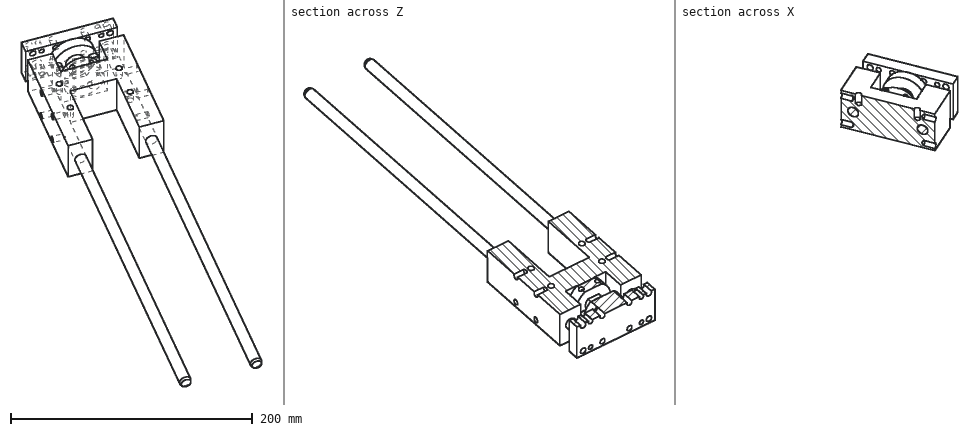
import cadquery as cq
import math


plate_thickness = 10.8
plate_width = 80.5
plate_height = 37.5
plate_hole_z = 14.0
outer_hole_diameter = 5.5
outer_hole_y = 34.0
middle_hole_diameter = 4.2
middle_hole_y = 26.0
inner_hole_diameter = 5.0
inner_hole_y = 14.0

rod_diameter = 10.0
rod_spacing = 62.0
rod_end_x = 385.0
rod_chamfer_length = 2.5
rod_chamfer_depth = 0.8

block_start_x = 21.0
block_length = 100.5
block_width = 84.0
block_height = 39.0
flange_diameter = 38.0
block_bottom_z = -flange_diameter / 2
block_end_x = block_start_x + block_length
opening_width = 41.0
web_start_x = 42.0
web_thickness = 23.0
web_end_x = web_start_x + web_thickness

mount_hole_diameter = 5.0
mount_hole_depth = 10.0
drill_point_angle = math.radians(118)
mount_hole_first_x = 54.5
mount_hole_pitch = 27.7
top_hole_y = 26.0
side_hole_z = 14.0

flange_end_x = 19.2
screw_head_diameter = 8.5
screw_head_end_x = 23.5
screw_head_y = 15.8
neck_diameter = 16.0
flats_start_x = 25.8
flats_width = 12.0
collar_diameter = 35.0
collar_start_x = 31.5
collar_hole_count = 6
collar_hole_diameter = 4.2
collar_hole_depth = 4.5


def cylinder_along_x(diameter, start_x, end_x, y=0):
    base = cq.Plane(origin=(start_x, y, 0), xDir=(0, 1, 0), normal=(1, 0, 0))
    return cq.Workplane(base).circle(diameter / 2).extrude(end_x - start_x)


def box_between(start_x, end_x, width, bottom_z, height):
    return cq.Workplane("XY").box(
        end_x - start_x, width, height, centered=(False, True, False)
    ).translate((start_x, 0, bottom_z))


def drilled_hole(diameter, depth, mouth, direction):
    return cq.Workplane(cq.Solid.makeCylinder(diameter / 2, depth, cq.Vector(*mouth), cq.Vector(*direction)))


def mount_hole(mouth, direction):
    radius = mount_hole_diameter / 2
    point_length = radius / math.tan(drill_point_angle / 2)
    point_base = cq.Vector(*mouth) + cq.Vector(*direction) * mount_hole_depth
    point = cq.Solid.makeCone(radius, 0, point_length, point_base, cq.Vector(*direction))
    return drilled_hole(mount_hole_diameter, mount_hole_depth, mouth, direction).union(cq.Workplane(point))


def make_plate():
    plate = box_between(0, plate_thickness, plate_width, -plate_height / 2, plate_height)
    hole_columns = [
        (outer_hole_diameter, outer_hole_y),
        (middle_hole_diameter, middle_hole_y),
        (inner_hole_diameter, inner_hole_y),
    ]
    for diameter, hole_y in hole_columns:
        for y in (-hole_y, hole_y):
            for z in (-plate_hole_z, plate_hole_z):
                plate = plate.cut(drilled_hole(diameter, plate_thickness, (0, y, z), (1, 0, 0)))
    return plate


def make_collar():
    collar = cylinder_along_x(collar_diameter, collar_start_x, web_start_x)
    hole_x = (collar_start_x + web_start_x) / 2
    radius = collar_diameter / 2
    for index in range(collar_hole_count):
        angle = 2 * math.pi * (index + 0.5) / collar_hole_count
        y = math.sin(angle)
        z = math.cos(angle)
        mouth = (hole_x, radius * y, radius * z)
        collar = collar.cut(drilled_hole(collar_hole_diameter, collar_hole_depth, mouth, (0, -y, -z)))
    return collar


def make_neck():
    round_neck = cylinder_along_x(neck_diameter, flange_end_x, flats_start_x)
    flatted_neck = cylinder_along_x(neck_diameter, flats_start_x, collar_start_x).intersect(
        box_between(flats_start_x, collar_start_x, neck_diameter, -flats_width / 2, flats_width)
    )
    return round_neck.union(flatted_neck)


def make_coupling():
    flange = cylinder_along_x(flange_diameter, plate_thickness, flange_end_x)
    coupling = flange.union(make_neck()).union(make_collar())
    for y in (-screw_head_y, screw_head_y):
        coupling = coupling.union(cylinder_along_x(screw_head_diameter, flange_end_x, screw_head_end_x, y))
    return coupling


def make_slide():
    slide = make_plate().union(make_coupling())
    for y in (-rod_spacing / 2, rod_spacing / 2):
        rod = cylinder_along_x(rod_diameter, plate_thickness, rod_end_x, y)
        slide = slide.union(rod.faces(">X").chamfer(rod_chamfer_length, rod_chamfer_depth))
    return slide


def make_guide_block():
    block = box_between(block_start_x, block_end_x, block_width, block_bottom_z, block_height)
    block = block.cut(box_between(block_start_x, web_start_x, opening_width, block_bottom_z, block_height))
    block = block.cut(box_between(web_end_x, block_end_x, opening_width, block_bottom_z, block_height))

    for side in (-1, 1):
        block = block.cut(cylinder_along_x(rod_diameter, block_start_x, block_end_x, side * rod_spacing / 2))
        for x in (mount_hole_first_x, mount_hole_first_x + mount_hole_pitch):
            top_mouth = (x, side * top_hole_y, block_bottom_z + block_height)
            block = block.cut(mount_hole(top_mouth, (0, 0, -1)))
            for z in (-side_hole_z, side_hole_z):
                side_mouth = (x, side * block_width / 2, z)
                block = block.cut(mount_hole(side_mouth, (0, -side, 0)))
    return block


slide = make_slide()
guide_block = make_guide_block()

result = cq.Compound.makeCompound([slide.val(), guide_block.val()])